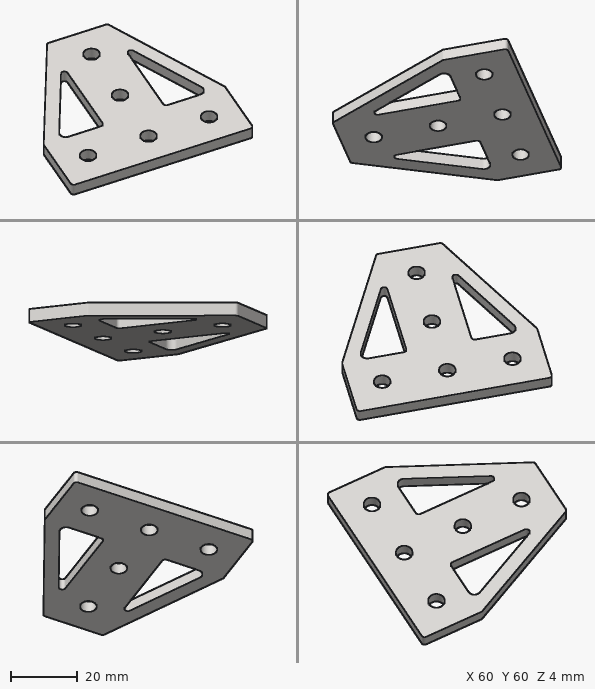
import cadquery as cq
import math

side = 60.0
thickness = 4.0
hole_diameter = 5.0
corner_radius = 1.0
rim_width = 4.5
window_sharp_radius = 1.0
window_square_radius = 1.0
window_peak_radius = 2.0

pitch = side / 3
half_side = side / 2
half_pitch = pitch / 2

slope = (half_side - half_pitch) / (half_pitch + half_side)
rim_drop = rim_width * math.hypot(1, slope)


def window_edge_y(x):
    """Height of the window's sloping side, parallel to the plate edge."""
    return half_pitch + slope * (x + half_side) - rim_drop


def make_plate():
    outline = [
        (-half_side, -half_pitch),
        (half_pitch, -half_side),
        (half_side, -half_side),
        (half_side, half_side),
        (half_pitch, half_side),
        (-half_side, half_pitch),
    ]
    plate = cq.Workplane("XY").polyline(outline).close().extrude(thickness)
    return plate.edges("|Z").fillet(corner_radius)


def make_window():
    """Triangular cutter on the +Y side, with a different radius at each corner."""
    sharp_corner = (-half_side + rim_drop / slope, half_pitch)
    square_corner = (half_pitch, half_pitch)
    peak_corner = (half_pitch, window_edge_y(half_pitch))
    window = (
        cq.Workplane("XY")
        .polyline([sharp_corner, square_corner, peak_corner])
        .close()
        .extrude(thickness)
    )
    corner_radii = [
        (sharp_corner, window_sharp_radius),
        (square_corner, window_square_radius),
        (peak_corner, window_peak_radius),
    ]
    for (x, y), radius in corner_radii:
        corner = cq.selectors.NearestToPointSelector((x, y, thickness / 2))
        window = window.edges("|Z").edges(corner).fillet(radius)
    return window


hole_centers = [
    (-pitch, 0),
    (0, 0),
    (pitch, 0),
    (pitch, pitch),
    (pitch, -pitch),
]

window = make_window()
result = make_plate().cut(window).cut(window.mirror("XZ"))
result = result.faces(">Z").workplane(origin=(0, 0, 0)).pushPoints(hole_centers).hole(hole_diameter)